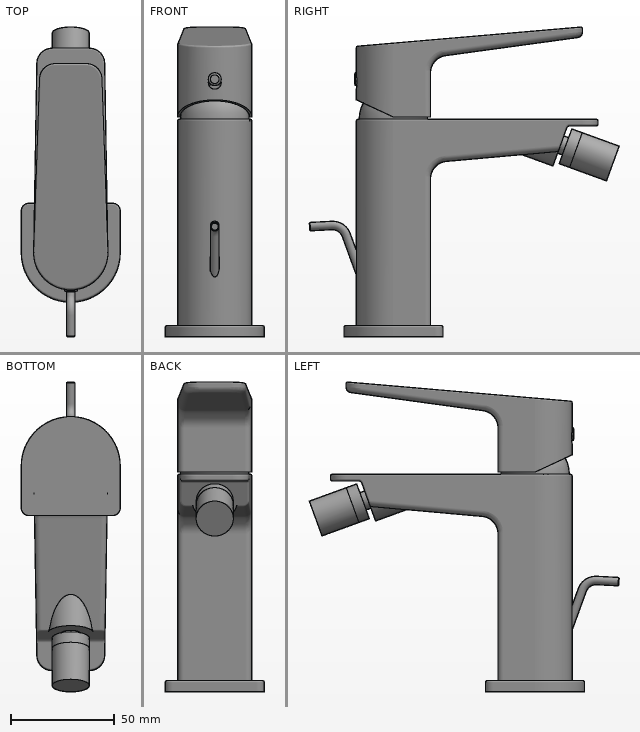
import cadquery as cq
import math


plate_radius = 24.0
plate_height = 5.5
plate_corner = 3.7
plate_edge = 1.0

column_radius = 18.0
column_top = 105.2
spout_reach = 98.9
spout_tip_half_width = 16.3
lip_thickness = 3.3
lip_fillet = 1.8
lip_edge = 0.9
spout_slope = 5.0
spout_root_drop = 21.1

tip_corner = 7.5
root_fillet = 8.2
under_edge = 2.7
top_edge = 0.9

outlet_tilt = 20.0
outlet_end_y = 106.1
outlet_end_z = 83.8
nozzle_radius = 9.0
nozzle_length = 19.0
collar_length = 5.4
neck_radius = 4.5
neck_gap = 2.4
neck_depth = 4.5
boss_radius = 11.1
boss_length = 21.0
boss_start = nozzle_length + collar_length + neck_gap

lever_gap = 1.0
lever_reach = 91.4
lever_tip_half_width = 14.8
lever_tip_top = 149.9
lever_top_slope = 4.9
lever_under_slope = 7.8
lever_root_z = 134.9
relief_slope = 24.8

dome_radius = 16.6
cavity_radius = 16.8

plug_radius = 3.1
plug_face_radius = 2.1
plug_z = 124.5
plug_proud = 0.9
plug_bevel = 0.5
plug_depth = 0.9
recess_drop = 1.6

rod_radius = 2.1
rod_hole_radius = 2.4
rod_bend_radius = 7.0
rod_corner_y = -24.6
rod_corner_z = 54.1
rod_tip_y = -40.6
rod_handle_droop = 3.0
rod_leg_lean = 20.0
rod_leg_length = 30.0
rod_tip_chamfer = 0.5


def d_outline(radius, back_y, back_half_width, corner, height):
    """Prism with a half-round front and a back end that has rounded corners."""
    return (
        cq.Workplane("XY")
        .moveTo(-radius, 0)
        .threePointArc((0, -radius), (radius, 0))
        .lineTo(back_half_width, back_y)
        .lineTo(-back_half_width, back_y)
        .close()
        .extrude(height)
        .edges("|Z and >Y")
        .fillet(corner)
    )


def side_prism(profile):
    """Close a (y, z) profile and extrude it both ways, wider than the column."""
    return profile.close().extrude(2 * column_radius, both=True)


def round_underside(body, probe_z):
    """Round the back edges at height probe_z and the underside edges that run on from them."""
    left = cq.NearestToPointSelector((-column_radius, column_radius, probe_z))
    right = cq.NearestToPointSelector((column_radius, column_radius, probe_z))
    return body.edges(left + right).fillet(under_edge)


def outlet_cylinder(radius, start, length):
    """Cylinder on the outlet axis; start and length are measured inwards from the nozzle end."""
    tilt = math.radians(outlet_tilt)
    inwards = cq.Vector(0, -math.cos(tilt), math.sin(tilt))
    end = cq.Vector(0, outlet_end_y, outlet_end_z)
    return cq.Workplane(obj=cq.Solid.makeCylinder(radius, length, end + inwards * start, inwards))


def make_plate():
    plate = d_outline(plate_radius, plate_radius, plate_radius, plate_corner, plate_height)
    return plate.faces(">Z").edges().fillet(plate_edge)


def make_casting():
    tilt = math.radians(outlet_tilt)
    slope = math.tan(math.radians(spout_slope))
    lip_z = column_top - lip_thickness
    face_y = outlet_end_y - boss_start * math.cos(tilt)
    face_z = outlet_end_z + boss_start * math.sin(tilt)
    face_top_y = face_y + (lip_z - face_z) * math.tan(tilt)
    root_z = column_top - spout_root_drop
    face_low_z = root_z + (face_y - column_radius) * slope
    face_low_y = face_y + (face_low_z - face_z) * math.tan(tilt)

    profile = (
        cq.Workplane("YZ")
        .moveTo(-column_radius, plate_height)
        .lineTo(column_radius, plate_height)
        .lineTo(column_radius, root_z)
        .lineTo(face_low_y, face_low_z)
        .lineTo(face_top_y, lip_z)
        .lineTo(spout_reach, lip_z)
        .lineTo(spout_reach, column_top)
        .lineTo(-column_radius, column_top)
    )
    side = side_prism(profile)
    side = side.edges(cq.NearestToPointSelector((0, column_radius, root_z))).fillet(root_fillet)
    side = side.edges(cq.NearestToPointSelector((0, face_top_y, lip_z))).fillet(lip_fillet)
    outline = d_outline(column_radius, spout_reach, spout_tip_half_width, tip_corner, column_top)
    body = outline.intersect(side)
    body = round_underside(body, column_top / 2)
    body = body.edges(cq.NearestToPointSelector((0, spout_reach, lip_z))).fillet(lip_edge)
    body = body.faces(">Z").edges().fillet(top_edge)
    below_lip = cq.Workplane("XY").rect(4 * boss_radius, 4 * spout_reach).extrude(lip_z)
    boss = outlet_cylinder(boss_radius, boss_start, boss_length).intersect(below_lip)
    return body.union(boss)


def make_lever():
    low_z = column_top + lever_gap
    top_fall = (lever_reach + column_radius) * math.tan(math.radians(lever_top_slope))
    under_rise = (lever_reach - column_radius) * math.tan(math.radians(lever_under_slope))
    relief_rise = column_radius * math.tan(math.radians(relief_slope))
    profile = (
        cq.Workplane("YZ")
        .moveTo(0, low_z)
        .lineTo(column_radius, low_z)
        .lineTo(column_radius, lever_root_z)
        .lineTo(lever_reach, lever_root_z + under_rise)
        .lineTo(lever_reach, lever_tip_top)
        .lineTo(-column_radius, lever_tip_top - top_fall)
        .lineTo(-column_radius, low_z + relief_rise)
    )
    side = side_prism(profile)
    side = side.edges(cq.NearestToPointSelector((0, column_radius, lever_root_z))).fillet(root_fillet)
    outline = d_outline(column_radius, lever_reach, lever_tip_half_width, tip_corner, lever_tip_top)
    body = outline.intersect(side)
    body = round_underside(body, (low_z + lever_root_z) / 2)
    body = body.faces(cq.NearestToPointSelector((0, lever_reach / 2, lever_tip_top))).edges().fillet(top_edge)
    cavity = cq.Workplane("XY").circle(cavity_radius).extrude(column_top + dome_radius)
    return body.cut(cavity).cut(make_plug_recess())


def make_dome():
    ball = cq.Workplane("XY").sphere(dome_radius)
    upper_half = cq.Workplane("XY").circle(2 * dome_radius).extrude(dome_radius)
    return ball.intersect(upper_half).translate((0, 0, column_top))


def make_plug():
    """Round plug whose outer end is bevelled down to a smaller flat face."""
    bevel_end = plug_depth + plug_proud
    return (
        cq.Workplane("XY", origin=(0, plug_depth - column_radius, plug_z))
        .lineTo(plug_radius, 0)
        .lineTo(plug_radius, plug_bevel - bevel_end)
        .lineTo(plug_face_radius, -bevel_end)
        .lineTo(0, -bevel_end)
        .close()
        .revolve(360, (0, 0), (0, 1))
    )


def make_plug_recess():
    floor = cq.Workplane("XZ", origin=(0, plug_depth - column_radius, plug_z - recess_drop))
    return floor.circle(plug_radius).extrude(plug_depth + plug_proud)


def rod_leg_line():
    """Corner of the rod's centre line, and the direction from there down into the column."""
    lean = math.radians(rod_leg_lean)
    corner = cq.Vector(0, rod_corner_y, rod_corner_z)
    return corner, cq.Vector(0, math.sin(lean), -math.cos(lean))


def make_rod_hole():
    """Blind clearance hole whose floor carries the foot of the rod."""
    corner, leg = rod_leg_line()
    return cq.Workplane(obj=cq.Solid.makeCylinder(rod_hole_radius, rod_leg_length, corner, leg))


def make_rod():
    droop = math.radians(rod_handle_droop)
    corner, leg = rod_leg_line()
    handle = cq.Vector(0, -math.cos(droop), -math.sin(droop))
    half_turn = (math.pi - handle.getAngle(leg)) / 2
    setback = rod_bend_radius * math.tan(half_turn)
    inner = (handle + leg).normalized()
    bend_middle = corner + inner * (rod_bend_radius / math.cos(half_turn) - rod_bend_radius)
    handle_length = (rod_corner_y - rod_tip_y) / math.cos(droop)
    foot = corner + leg * rod_leg_length
    path = cq.Wire.assembleEdges([
        cq.Edge.makeLine(foot, corner + leg * setback),
        cq.Edge.makeThreePointArc(corner + leg * setback, bend_middle, corner + handle * setback),
        cq.Edge.makeLine(corner + handle * setback, corner + handle * handle_length),
    ])
    rod = cq.Workplane(cq.Plane(foot, (1, 0, 0), leg * -1)).circle(rod_radius).sweep(path)
    return rod.faces("<Y").chamfer(rod_tip_chamfer)


plate = make_plate()
rod = make_rod()
dome = make_dome()
plug = make_plug()
nozzle = outlet_cylinder(nozzle_radius, 0, nozzle_length)
collar = outlet_cylinder(nozzle_radius, nozzle_length, collar_length)
neck = outlet_cylinder(neck_radius, nozzle_length + collar_length, neck_gap + neck_depth)
joint = collar.union(neck)
casting = make_casting().cut(make_rod_hole()).cut(joint)
lever = make_lever().cut(plug)

result = cq.Compound.makeCompound([
    plate.val(), casting.val(), lever.val(), dome.val(),
    plug.val(), rod.val(), nozzle.val(), joint.val(),
])